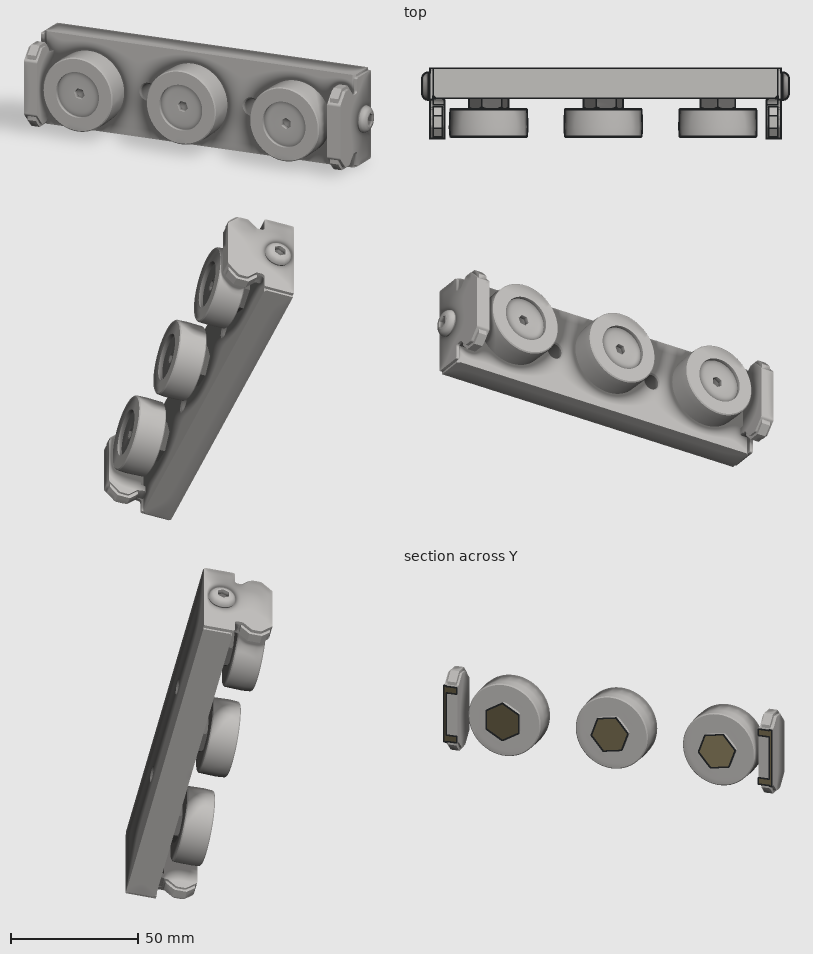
import cadquery as cq
import math


overall_length = 144.1

rail_half_length = 67.6
rail_length = 2 * rail_half_length
rail_depth = 11.8
rail_height = 38.0
rail_chamfer = 1.0
rail_hole_x = 22.5
rail_hole_diameter = 6.3
rail_hole_chamfer = 0.6
rail_hole_chamfer_angle = 90

roller_pitch = 45.0
roller_row_x = -0.9
outer_roller_z = -0.1
middle_roller_z = 0.7
roller_turns = [10, 10, 30]
roller_back = 15.9
roller_front = 27.1
roller_radius = 15.4
roller_side_radius = 15.1
roller_chamfer = 0.5
recess_radius = 9.4
recess_depth = 1.7
hex_sides = 6
hex_across_corners = 15.9
hex_chamfer = 0.6
roller_socket_corners = 4.6
roller_socket_depth = 2.2
roller_socket_cone_angle = 118

wiper_outer_x = 68.9
wiper_inner_x = 63.1
wiper_front = 27.7
plate_half_height = 18.2
plate_front = 12.4
plate_corner = 0.6
neck_half_height = 12.0
wiper_fillet = 1.2
head_half_height = 15.5
head_top_back = 19.3
head_top_front = 23.0
head_back = 14.3
pad_inner_x = 64.0
pad_half_height = 16.7
pad_top_back = 18.6
pad_top_front = 23.6
pad_back = 15.1
pad_front = 27.0
tab_height = 2.9
tab_chamfer = 0.7
tab_clearance = 0.3

screw_y = -7.0
screw_rim_radius = 5.5
screw_seat_radius = 5.2
screw_tip_radius = 3.0
screw_rim_height = 0.7
screw_dome_bulge = 0.5
screw_socket_corners = 5.2
screw_socket_depth = 2.2


def make_rail():
    rail = cq.Workplane("XY").box(rail_length, rail_depth, rail_height).translate((0, -rail_depth / 2, 0))
    rail = rail.faces("<Y").edges("|Z").chamfer(rail_chamfer)
    mouth_diameter = rail_hole_diameter + 2 * rail_hole_chamfer
    return (
        rail.faces("<Y").workplane(origin=(0, -rail_depth, 0))
        .pushPoints([(-rail_hole_x, 0), (rail_hole_x, 0)])
        .cskHole(rail_hole_diameter, mouth_diameter, rail_hole_chamfer_angle)
    )


def make_roller(x, z, turn):
    crown_middle = (roller_back + roller_front) / 2
    wheel = (
        cq.Workplane("XY")
        .moveTo(0, -roller_back)
        .lineTo(roller_side_radius - roller_chamfer, -roller_back)
        .lineTo(roller_side_radius, -roller_back - roller_chamfer)
        .threePointArc((roller_radius, -crown_middle), (roller_side_radius, roller_chamfer - roller_front))
        .lineTo(roller_side_radius - roller_chamfer, -roller_front)
        .lineTo(recess_radius, -roller_front)
        .lineTo(recess_radius, recess_depth - roller_front)
        .lineTo(0, recess_depth - roller_front)
        .close()
        .revolve(360, (0, 0, 0), (0, 1, 0))
    )
    hexagon = (
        cq.Workplane("XZ", origin=(0, -rail_depth, 0))
        .polygon(hex_sides, hex_across_corners)
        .extrude(roller_back - rail_depth)
    )
    hex_radius = hex_across_corners / 2
    hex_envelope = (
        cq.Workplane("XZ", origin=(0, -rail_depth, 0))
        .circle(hex_radius)
        .extrude(roller_back - rail_depth)
        .faces("<Y")
        .chamfer(hex_chamfer)
    )
    socket = (
        cq.Workplane("XZ", origin=(0, recess_depth - roller_front, 0))
        .polygon(hex_sides, roller_socket_corners)
        .extrude(-roller_socket_depth)
    )
    cone_radius = roller_socket_corners / 2 * math.cos(math.pi / hex_sides)
    cone_depth = cone_radius / math.tan(math.radians(roller_socket_cone_angle / 2))
    socket_bottom = recess_depth - roller_front + roller_socket_depth
    socket_cone = cq.Workplane(
        cq.Solid.makeCone(cone_radius, 0, cone_depth, cq.Vector(0, socket_bottom, 0), cq.Vector(0, 1, 0))
    )
    roller = wheel.union(hexagon.intersect(hex_envelope)).cut(socket.union(socket_cone))
    return roller.rotate((0, 0, 0), (0, 1, 0), turn).translate((x, 0, z))


def mirrored_prism(upper_points, x_start, x_end):
    """Prism along X from an upper outline in (Y, Z), mirrored to the lower half."""
    lower_points = [(y, -z) for y, z in reversed(upper_points)]
    return (
        cq.Workplane("YZ", origin=(x_start, 0, 0))
        .polyline(upper_points + lower_points)
        .close()
        .extrude(x_end - x_start)
    )


def fillet_corners(prism, corners, radius):
    """Round the X-parallel edges at the given (Y, Z) corners and at their mirror images in -Z."""
    middle_x = prism.val().Center().x
    for y, upper_z in corners:
        for z in (upper_z, -upper_z):
            corner = cq.selectors.NearestToPointSelector((middle_x, y, z))
            prism = prism.edges("|X").edges(corner).fillet(radius)
    return prism


def make_screw_head():
    tip_x = overall_length / 2
    rim_x = wiper_outer_x + screw_rim_height
    dome_middle = (
        (rim_x + tip_x) / 2 + screw_dome_bulge,
        (screw_rim_radius + screw_tip_radius) / 2 + screw_dome_bulge,
    )
    head = (
        cq.Workplane("XY")
        .moveTo(wiper_outer_x, 0)
        .lineTo(wiper_outer_x, screw_seat_radius)
        .lineTo(rim_x, screw_rim_radius)
        .threePointArc(dome_middle, (tip_x, screw_tip_radius))
        .lineTo(tip_x, 0)
        .close()
        .revolve(360, (0, 0, 0), (1, 0, 0))
    )
    socket = (
        cq.Workplane("YZ", origin=(tip_x - screw_socket_depth, 0, 0))
        .transformed(rotate=(0, 0, 90))
        .polygon(hex_sides, screw_socket_corners)
        .extrude(screw_socket_depth)
    )
    return head.cut(socket).translate((0, screw_y, 0))


def make_right_wiper():
    head_slope_back = head_top_back - (head_half_height - neck_half_height)
    front_half_height = head_half_height - (wiper_front - head_top_front)
    head_outline = [
        (-head_slope_back, neck_half_height),
        (-head_top_back, head_half_height),
        (-head_top_front, head_half_height),
        (-wiper_front, front_half_height),
    ]
    plate_outline = [
        (0, plate_half_height),
        (-plate_front, plate_half_height),
        (-plate_front, neck_half_height),
    ]
    plate = mirrored_prism(plate_outline + head_outline, rail_half_length, wiper_outer_x)
    plate = fillet_corners(plate, plate_outline[:2], plate_corner)
    plate = fillet_corners(plate, plate_outline[2:] + head_outline, wiper_fillet)
    head = mirrored_prism([(-head_back, neck_half_height)] + head_outline, wiper_inner_x, rail_half_length)
    head = fillet_corners(head, head_outline, wiper_fillet)

    pad_back_half_height = pad_half_height - (pad_top_back - pad_back)
    pad_front_half_height = pad_half_height - (pad_front - pad_top_front)
    pad_outline = [
        (-pad_back, pad_back_half_height),
        (-pad_top_back, pad_half_height),
        (-pad_top_front, pad_half_height),
        (-pad_front, pad_front_half_height),
    ]
    pad = mirrored_prism(pad_outline, pad_inner_x, rail_half_length)

    wiper = plate.union(head).union(pad).union(make_screw_head())
    tab_top = neck_half_height - tab_clearance
    tab = (
        cq.Workplane("XY")
        .box(rail_half_length - wiper_inner_x, head_back - rail_depth, tab_height)
        .faces("<X")
        .edges(">Y")
        .chamfer(tab_chamfer)
    )
    tab_x = (rail_half_length + wiper_inner_x) / 2
    tab_y = -(head_back + rail_depth) / 2
    for side in (-1, 1):
        wiper = wiper.union(tab.translate((tab_x, tab_y, side * (tab_top - tab_height / 2))))
    return wiper


rail = make_rail()

rollers = []
for index, turn in enumerate(roller_turns):
    place = index - 1
    roller_z = middle_roller_z if place == 0 else outer_roller_z
    rollers.append(make_roller(roller_row_x + place * roller_pitch, roller_z, turn))

right_wiper = make_right_wiper()
left_wiper = right_wiper.mirror("YZ")

result = cq.Compound.makeCompound(
    [rail.val(), left_wiper.val(), right_wiper.val()] + [roller.val() for roller in rollers]
)